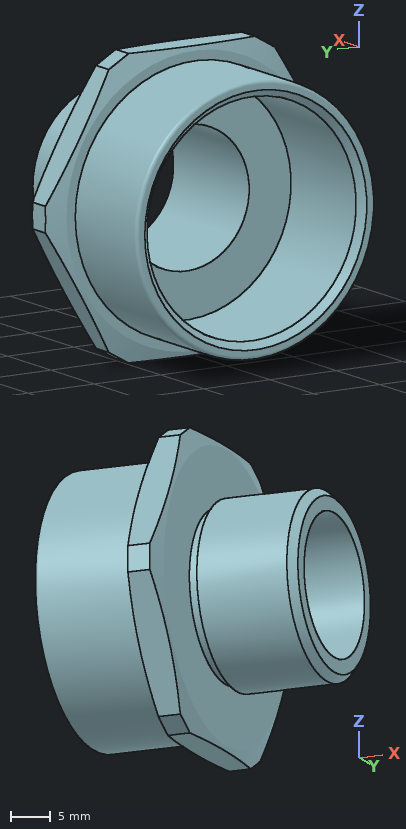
import cadquery as cq
import math

total_length = 33.5
collar_start = 14.0
collar_end = 18.5
neck_end = 20.0
socket_depth = 16.0

socket_diameter = 36.15
socket_bore_diameter = 31.55
socket_rim_fillet = 0.55
socket_mouth_chamfer = 0.97
neck_diameter = 22.75
spigot_diameter = 24.92
spigot_chamfer = 1.05
passage_diameter = 18.9

across_flats = 40.0
across_corners = 44.2
collar_face_diameter = 38.8
collar_bevel_angle = 15.0
collar_thickness = collar_end - collar_start


def cylinder(diameter, start, end):
    """Solid cylinder on the X axis between two stations."""
    return cq.Workplane("YZ").workplane(offset=start).circle(diameter / 2).extrude(end - start)


def revolved_solid(profile):
    """Solid of revolution about the X axis from (station, radius) points."""
    return cq.Workplane("XY").polyline(profile).close().revolve(360, (0, 0, 0), (1, 0, 0))


def hexagonal_prism(width_across_flats, rotation):
    """Collar-thick hexagon on the X axis; at zero rotation two corners lie on the Y axis."""
    corner_diameter = width_across_flats / math.cos(math.radians(30))
    sketch = cq.Workplane("YZ").workplane(offset=collar_start).polygon(6, corner_diameter)
    prism = sketch.extrude(collar_thickness)
    return prism.rotate((0, 0, 0), (1, 0, 0), rotation)


def bevel_envelope():
    """Disc with conical faces that bevels both sides of the collar."""
    face_radius = collar_face_diameter / 2
    outer_radius = across_flats / math.sqrt(3)
    bevel_depth = (outer_radius - face_radius) * math.tan(math.radians(collar_bevel_angle))
    return revolved_solid([
        (collar_start, 0),
        (collar_start, face_radius),
        (collar_start + bevel_depth, outer_radius),
        (collar_end - bevel_depth, outer_radius),
        (collar_end, face_radius),
        (collar_end, 0),
    ])


collar = hexagonal_prism(across_flats, 0).intersect(hexagonal_prism(across_corners, 30))
collar = collar.intersect(bevel_envelope())

socket = cylinder(socket_diameter, 0, collar_start).faces("<X").edges().fillet(socket_rim_fillet)
neck = cylinder(neck_diameter, collar_end, neck_end)
spigot = cylinder(spigot_diameter, neck_end, total_length).faces(">X").edges().chamfer(spigot_chamfer)

socket_bore = revolved_solid([
    (0, 0),
    (0, socket_bore_diameter / 2 + socket_mouth_chamfer),
    (socket_mouth_chamfer, socket_bore_diameter / 2),
    (socket_depth, socket_bore_diameter / 2),
    (socket_depth, 0),
])
passage = cylinder(passage_diameter, 0, total_length)

body = collar.union(socket).union(neck).union(spigot)
result = body.cut(socket_bore).cut(passage)